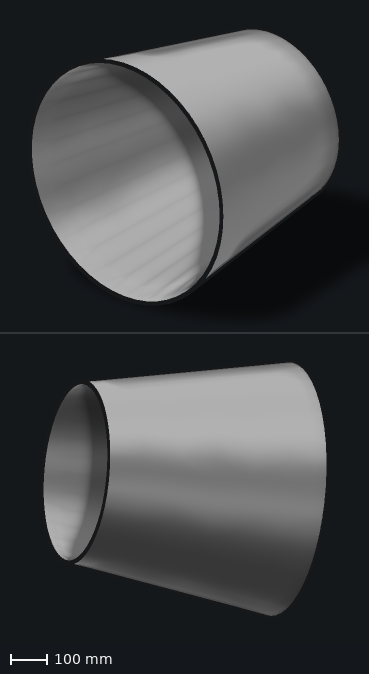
import cadquery as cq

wide_diameter = 711.0
narrow_diameter = 508.0
length = 610.0
wall = 6.0

wide_radius = wide_diameter / 2
narrow_radius = narrow_diameter / 2

wall_section = (
    cq.Workplane("XY")
    .moveTo(wide_radius - wall, 0)
    .lineTo(wide_radius, 0)
    .lineTo(narrow_radius, length)
    .lineTo(narrow_radius - wall, length)
    .close()
)

result = wall_section.revolve(360, (0, 0, 0), (0, 1, 0))